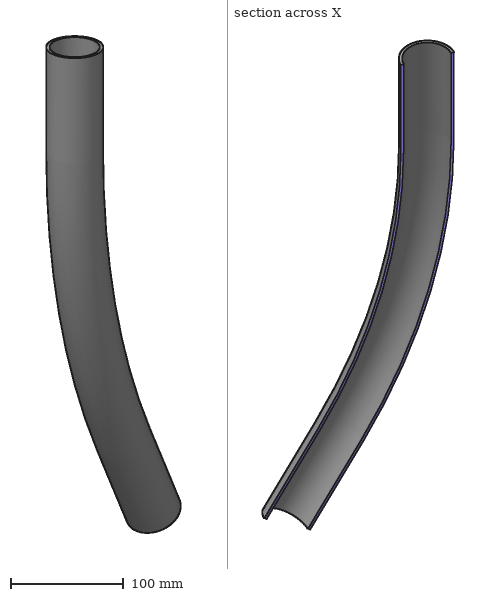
import cadquery as cq
import math

outer_diameter = 50.5
inner_diameter = 44.5
total_height = 507.0
straight_length = 101.5
bend_angle = 30.0

angle = math.radians(bend_angle)
outer_radius = outer_diameter / 2
straight_rise = straight_length * (1 + math.cos(angle))
tilted_rim_drop = outer_radius * math.sin(angle)
bend_radius = (total_height - straight_rise - tilted_rim_drop) / math.sin(angle)


def point_on_bend(turn):
    """Centerline point (Y, Z) after turning from vertical, in radians."""
    y = bend_radius * (1 - math.cos(turn))
    z = -straight_length - bend_radius * math.sin(turn)
    return y, z


bend_end = point_on_bend(angle)
lower_end = (
    bend_end[0] + straight_length * math.sin(angle),
    bend_end[1] - straight_length * math.cos(angle),
)
centerline = (
    cq.Workplane("YZ")
    .lineTo(0, -straight_length)
    .threePointArc(point_on_bend(angle / 2), bend_end)
    .lineTo(*lower_end)
)

result = (
    cq.Workplane("XY")
    .circle(outer_radius)
    .circle(inner_diameter / 2)
    .sweep(centerline)
)